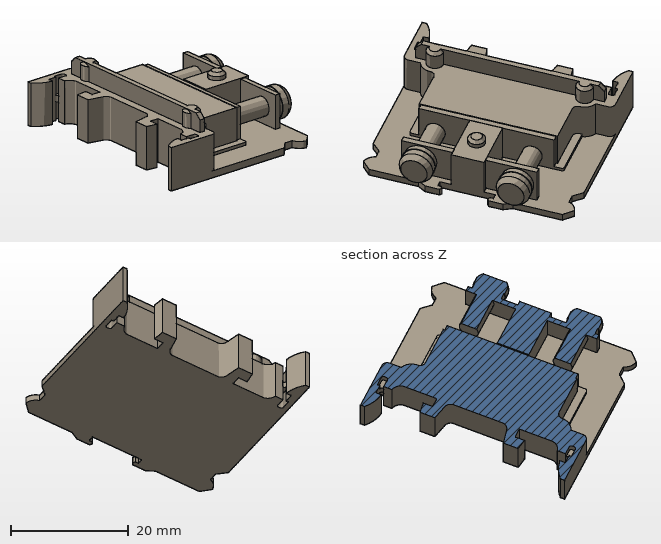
import cadquery as cq
import math

HALF_WIDTH = 19.0
PLATE_THICK = 1.3
PLATE_TOP = 31.5
BODY_TOP_Z = 8.0
MARKER_TOP_Z = 11.3

SIDE_INSET = 1.6
CORNER_Y = 29.87
CORNER_CURVE_MID = (18.39, 28.66)
NOTCH_TOP_Y = 28.05
NOTCH_BOTTOM_Y = 26.45
NOTCH_END_Y = 24.95
HOOK_TOP_Y = 32.35
HOOK_TIP_X = 4.1
HOOK_NECK_X = 5.0
HOOK_OUTER_X = 8.5
HOOK_RAMP_RUN = 1.5
HOOK_TIP_CUT = 0.3
RECESS_Y = 30.5

BLOCK_HALF = 12.47
BLOCK_TOP_Y = 19.95
BLOCK_FOOT_FILLET = 0.95
SHOULDER_Y = 9.95
SHOULDER_FILLET = 1.0
BODY_BOTTOM_Y = 6.47
BOSS_R = 2.47

RAIL_HOOK_INNER_X = 7.7
RAIL_HOOK_TIP_X = 9.45
RAIL_HOOK_END_X = 9.15
RAIL_HOOK_TOP_Y = 4.8
RAIL_HOOK_BOTTOM_Y = 2.74
RAIL_HOOK_ROOT_X = 6.35
RAIL_CURVE_START = (5.72, 5.55)
RAIL_CURVE_MID = (5.3, 6.2)
RAIL_CURVE_END_X = 4.35

LEG_FACE_X = 17.55
LEG_BARB_X = 16.55
LEG_BARB_Y = 3.46
LEG_TIP_X = 18.2
LEG_CURVE_MID = (16.95, 1.95)
SLOT_OUTER_X = 18.0
SLOT_INNER_X = 16.93
SLOT_TOP_Y = 6.95
SLOT_CORNER_R = 0.3
STEP_Y = 5.05
LIP_END_X = 15.35
LIP_CURVE_MID = (14.85, 5.98)
LIP_CURVE_END_X = 13.9
WEB_BOTTOM_Z = 3.4
WEB_THICK = 1.2

PAD_HALF = 13.9
PAD_TOP_Z = 1.87
PAD_CORNER_R = 0.4
BAR_HALF = 12.2
BAR_THICK = 1.0
BAR_TOP_Z = 7.85

CENTRE_HALF = 2.97
CENTRE_BOTTOM_Y = 21.06
STRIP_TOP_Y = 29.72
STRIP_THICK = 1.0
STRIP_BOTTOM_Z = 1.55
SCREW_X = 8.73
SCREW_Z = (STRIP_BOTTOM_Z + BAR_TOP_Z) / 2
SHAFT_R = 1.77
SHAFT_END_Y = 22.22
WASHER_R = 2.9
HEAD_R = 3.02
HEAD_BASE_Y = 30.77
HEAD_EDGE_Y = 32.08
HEAD_TOP_Y = 33.15
HEAD_TOP_R = 2.37
HEAD_CURVE_MID = (2.78, 32.68)

PIN_R = 1.54
PIN_CHAMFER = 0.56
CENTRE_PIN_Y = 25.93
CENTRE_PIN_TOP_Z = 9.3
MARKER_PIN_X = 13.5
MARKER_PIN_Y = 9.04

MARKER_HALF = 17.0
MARKER_BOTTOM_Y = 7.97
MARKER_THICK = 1.0
MARKER_CHAMFER = 1.0


def both_sides(half):
    """Join a shape on the +X side with its mirror image on the -X side."""
    return half.union(half.mirror("YZ"))


def box(x0, x1, y0, y1, z0, z1):
    """Axis-aligned box between the given limits."""
    return cq.Workplane("XY").box(x1 - x0, y1 - y0, z1 - z0, centered=False).translate((x0, y0, z0))


def centred_bar(half_x, y0, y1, z0, z1):
    """Box spanning -half_x to +half_x."""
    return box(-half_x, half_x, y0, y1, z0, z1)


def chamfered_pin(x, y, z0, z1):
    """Vertical round pin with a chamfered top."""
    pin = cq.Workplane("XY").circle(PIN_R).extrude(z1 - z0).faces(">Z").chamfer(PIN_CHAMFER)
    return pin.translate((x, y, z0))


def make_plate():
    """Thin base plate with side notches and two hooks along its upper edge."""
    inset_x = HALF_WIDTH - SIDE_INSET
    half = (
        cq.Workplane("XY")
        .moveTo(0, MARKER_BOTTOM_Y)
        .lineTo(HALF_WIDTH, MARKER_BOTTOM_Y)
        .lineTo(HALF_WIDTH, NOTCH_END_Y)
        .lineTo(inset_x, NOTCH_BOTTOM_Y)
        .lineTo(inset_x, NOTCH_TOP_Y)
        .threePointArc(CORNER_CURVE_MID, (HALF_WIDTH, CORNER_Y))
        .lineTo(inset_x, PLATE_TOP)
        .lineTo(HOOK_OUTER_X, PLATE_TOP)
        .lineTo(HOOK_OUTER_X - HOOK_RAMP_RUN, HOOK_TOP_Y)
        .lineTo(HOOK_TIP_X + HOOK_TIP_CUT, HOOK_TOP_Y)
        .lineTo(HOOK_TIP_X, (HOOK_TOP_Y + PLATE_TOP) / 2)
        .lineTo(HOOK_TIP_X + HOOK_TIP_CUT, PLATE_TOP)
        .lineTo(HOOK_NECK_X, PLATE_TOP)
        .lineTo(HOOK_NECK_X, RECESS_Y)
        .lineTo(0, RECESS_Y)
        .close()
        .extrude(PLATE_THICK)
    )
    return both_sides(half)


def make_body():
    """Full-height body: relay block, shoulders, outer legs and rail hooks."""
    boss_drop = SHOULDER_Y - MARKER_PIN_Y
    boss_end_x = MARKER_PIN_X + math.sqrt(BOSS_R**2 - boss_drop**2)
    boss_mid_angle = (math.asin(boss_drop / BOSS_R) + math.pi / 2) / 2
    boss_mid = (
        MARKER_PIN_X + BOSS_R * math.cos(boss_mid_angle),
        MARKER_PIN_Y + BOSS_R * math.sin(boss_mid_angle),
    )
    boss_top_y = MARKER_PIN_Y + BOSS_R
    half = (
        cq.Workplane("XY")
        .moveTo(0, BLOCK_TOP_Y)
        .lineTo(BLOCK_HALF, BLOCK_TOP_Y)
        .lineTo(BLOCK_HALF, boss_top_y + BLOCK_FOOT_FILLET)
        .radiusArc((BLOCK_HALF + BLOCK_FOOT_FILLET, boss_top_y), -BLOCK_FOOT_FILLET)
        .lineTo(MARKER_PIN_X, boss_top_y)
        .threePointArc(boss_mid, (boss_end_x, SHOULDER_Y))
        .lineTo(HALF_WIDTH - SHOULDER_FILLET, SHOULDER_Y)
        .radiusArc((HALF_WIDTH, SHOULDER_Y - SHOULDER_FILLET), SHOULDER_FILLET)
        .lineTo(HALF_WIDTH, 0)
        .lineTo(LEG_TIP_X, 0)
        .threePointArc(LEG_CURVE_MID, (LEG_BARB_X, LEG_BARB_Y))
        .lineTo(LEG_FACE_X, LEG_BARB_Y)
        .lineTo(LEG_FACE_X, STEP_Y)
        .lineTo(LIP_END_X, STEP_Y)
        .threePointArc(LIP_CURVE_MID, (LIP_CURVE_END_X, BODY_BOTTOM_Y))
        .lineTo(RAIL_HOOK_INNER_X, BODY_BOTTOM_Y)
        .lineTo(RAIL_HOOK_INNER_X, RAIL_HOOK_TOP_Y)
        .lineTo(RAIL_HOOK_TIP_X, RAIL_HOOK_TOP_Y)
        .lineTo(RAIL_HOOK_END_X, RAIL_HOOK_BOTTOM_Y)
        .lineTo(RAIL_HOOK_ROOT_X, RAIL_HOOK_BOTTOM_Y)
        .lineTo(*RAIL_CURVE_START)
        .threePointArc(RAIL_CURVE_MID, (RAIL_CURVE_END_X, BODY_BOTTOM_Y))
        .lineTo(0, BODY_BOTTOM_Y)
        .close()
        .extrude(BODY_TOP_Z)
    )
    return both_sides(half)


def make_spring_slots():
    """Through slots that free the outer legs from the body."""
    slot = box(SLOT_INNER_X, SLOT_OUTER_X, STEP_Y, SLOT_TOP_Y, 0, BODY_TOP_Z)
    return both_sides(slot.edges("|Z and >Y").fillet(SLOT_CORNER_R))


def make_slot_webs():
    """Thin webs bridging the spring slots part-way up, arched underneath."""
    arch_r = (LEG_FACE_X - SLOT_INNER_X) / 2
    web = (
        cq.Workplane("XY")
        .moveTo(SLOT_INNER_X, STEP_Y)
        .threePointArc((SLOT_INNER_X + arch_r, STEP_Y + arch_r), (LEG_FACE_X, STEP_Y))
        .lineTo(SLOT_OUTER_X, STEP_Y)
        .lineTo(SLOT_OUTER_X, SLOT_TOP_Y)
        .lineTo(SLOT_INNER_X, SLOT_TOP_Y)
        .close()
        .extrude(WEB_THICK)
        .translate((0, 0, WEB_BOTTOM_Z))
    )
    return both_sides(web)


def make_pad_and_bar():
    """Low pad around the relay block and the conductor bar along its upper face."""
    bar_top_y = BLOCK_TOP_Y + BAR_THICK
    pad = centred_bar(PAD_HALF, SHOULDER_Y, bar_top_y, 0, PAD_TOP_Z)
    pad = pad.edges("|Z and >Y").fillet(PAD_CORNER_R)
    return pad.union(centred_bar(BAR_HALF, BLOCK_TOP_Y, bar_top_y, 0, BAR_TOP_Z))


def make_centre_block():
    """Centre block with its pin, carrying the terminal strip clear of the plate."""
    block = centred_bar(CENTRE_HALF, CENTRE_BOTTOM_Y, RECESS_Y, 0, BODY_TOP_Z)
    strip = centred_bar(BAR_HALF, STRIP_TOP_Y - STRIP_THICK, STRIP_TOP_Y, STRIP_BOTTOM_Z, BAR_TOP_Z)
    pin = chamfered_pin(0, CENTRE_PIN_Y, BODY_TOP_Z, CENTRE_PIN_TOP_Z)
    return block.union(strip).union(pin)


def make_screws():
    """Pan-head terminal screws with washers, turned about axes along Y."""
    screw = (
        cq.Workplane("XY")
        .moveTo(0, SHAFT_END_Y)
        .lineTo(SHAFT_R, SHAFT_END_Y)
        .lineTo(SHAFT_R, STRIP_TOP_Y)
        .lineTo(WASHER_R, STRIP_TOP_Y)
        .lineTo(WASHER_R, HEAD_BASE_Y)
        .lineTo(HEAD_R, HEAD_BASE_Y)
        .lineTo(HEAD_R, HEAD_EDGE_Y)
        .threePointArc(HEAD_CURVE_MID, (HEAD_TOP_R, HEAD_TOP_Y))
        .lineTo(0, HEAD_TOP_Y)
        .close()
        .revolve(360, (0, 0, 0), (0, 1, 0))
    )
    return both_sides(screw.translate((SCREW_X, 0, SCREW_Z)))


def make_marker_strip():
    """Upright marker strip with bevelled ends and a round pin near each end."""
    marker_top_y = MARKER_BOTTOM_Y + MARKER_THICK
    strip = centred_bar(MARKER_HALF, MARKER_BOTTOM_Y, marker_top_y, BODY_TOP_Z, MARKER_TOP_Z)
    strip = strip.edges("|Y and >Z").chamfer(MARKER_CHAMFER)
    pin = chamfered_pin(MARKER_PIN_X, MARKER_PIN_Y, BODY_TOP_Z, MARKER_TOP_Z)
    return strip.union(both_sides(pin))


result = (
    make_plate()
    .union(make_body())
    .union(make_pad_and_bar())
    .cut(make_spring_slots())
    .union(make_slot_webs())
    .union(make_centre_block())
    .union(make_screws())
    .union(make_marker_strip())
)